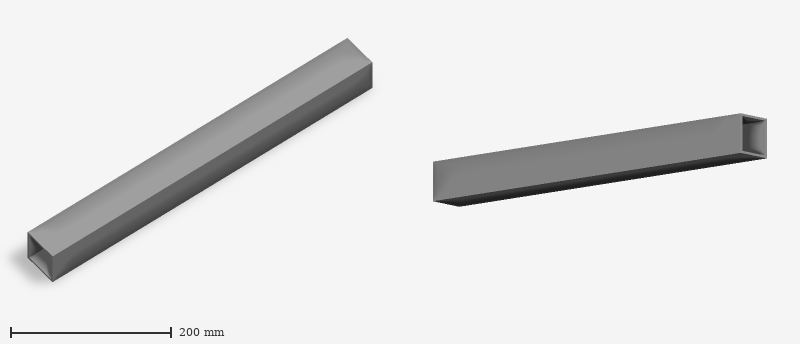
import cadquery as cq

length = 506.5
outer_side = 50.0
wall = 3.0
inner_side = outer_side - 2 * wall

result = (
    cq.Workplane("XZ")
    .rect(outer_side, outer_side)
    .rect(inner_side, inner_side)
    .extrude(length / 2, both=True)
)